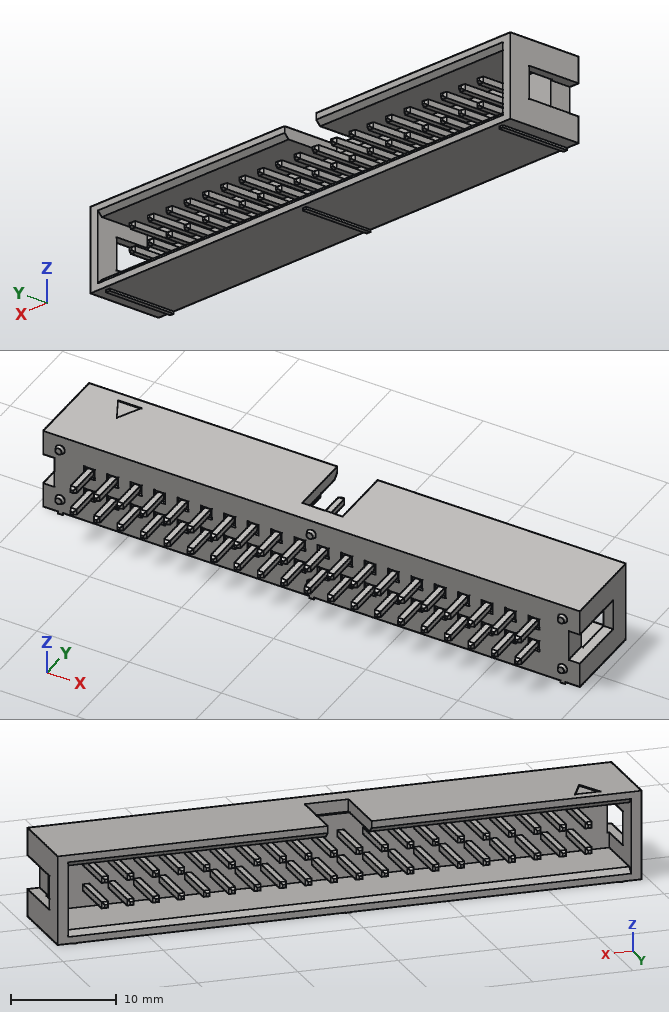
import cadquery as cq


LENGTH = 58.3
DEPTH = 8.8
HEIGHT = 8.85
LONG_WALL = 1.2
END_WALL = 1.05
FLOOR_THICKNESS = 2.45
RIM_CHAMFER_DEPTH = 0.5
RIM_CHAMFER_HEIGHT = 0.5

END_SLOT_HEIGHT = 3.4
END_SLOT_LENGTH = 6.35
END_SLOT_DEPTH = 1.2

NOTCH_WIDTH = 4.4
NOTCH_LENGTH = 6.7

COLUMNS = 20
ROWS = 2
ROW_LENGTH = 48.3
PIN_WIDTH = 0.65
PIN_TAIL = 3.3
PIN_TIP_INSET = 0.5
TIP_LENGTH = 0.35
TIP_TAPER = 0.2
PIN_RECESS_WIDTH = 1.2
PIN_RECESS_DEPTH = 0.3

SUPPORT_END_OFFSET = 1.85
STANDOFF_BASE_DIAMETER = 1.0
STANDOFF_TIP_DIAMETER = 0.7
STANDOFF_HEIGHT = 0.35
STANDOFF_EDGE_OFFSET = 1.5
RIB_WIDTH = 0.5
RIB_HEIGHT = 0.25
RIB_END_GAP = 0.5

MARK_WIDTH = 2.55
MARK_LENGTH = 2.5
MARK_INSET = 1.05
MARK_DEPTH = 0.1

PITCH = ROW_LENGTH / (COLUMNS - 1)
CAVITY_HEIGHT = HEIGHT - 2 * LONG_WALL
SUPPORT_REACH = LENGTH / 2 - SUPPORT_END_OFFSET
SUPPORT_X = (-SUPPORT_REACH, 0, SUPPORT_REACH)
COLUMN_X = [(i - (COLUMNS - 1) / 2) * PITCH for i in range(COLUMNS)]
ROW_Z = [(j - (ROWS - 1) / 2) * PITCH for j in range(ROWS)]
PIN_PLACES = [(x, z) for x in COLUMN_X for z in ROW_Z]


def block(x_range, y_range, z_range):
    """Box between the given limits on each axis."""
    sizes = [high - low for low, high in (x_range, y_range, z_range)]
    corner = (x_range[0], y_range[0], z_range[0])
    return cq.Workplane("XY").box(*sizes, centered=False).translate(corner)


def centered(size):
    return (-size / 2, size / 2)


def facing_board(y):
    """Work plane at the given Y whose normal points to -Y, with local axes X and Z."""
    return cq.Workplane("XZ", origin=(0, y, 0))


def cavity():
    """Space inside the shroud, with the mouth flared along both long walls."""
    half = CAVITY_HEIGHT / 2
    mouth_half = half + RIM_CHAMFER_HEIGHT
    flare_start = DEPTH - RIM_CHAMFER_DEPTH
    inner_length = LENGTH - 2 * END_WALL
    profile = [
        (FLOOR_THICKNESS, -half),
        (flare_start, -half),
        (DEPTH, -mouth_half),
        (DEPTH, mouth_half),
        (flare_start, half),
        (FLOOR_THICKNESS, half),
    ]
    return cq.Workplane("YZ").polyline(profile).close().extrude(inner_length / 2, both=True)


def end_slot(side):
    """Slot through the end wall at side = -1 or +1."""
    x_range = sorted((side * (LENGTH / 2 - END_SLOT_DEPTH), side * LENGTH / 2))
    return block(x_range, (0, END_SLOT_LENGTH), centered(END_SLOT_HEIGHT))


def notch():
    return block(
        centered(NOTCH_WIDTH),
        (DEPTH - NOTCH_LENGTH, DEPTH),
        (CAVITY_HEIGHT / 2, HEIGHT / 2),
    )


def pin_one_mark():
    """Shallow triangle in the top face, pointing at the first column."""
    base_y = DEPTH - MARK_INSET
    x = COLUMN_X[0]
    corners = [
        (x - MARK_WIDTH / 2, base_y),
        (x + MARK_WIDTH / 2, base_y),
        (x, base_y - MARK_LENGTH),
    ]
    return cq.Workplane("XY", origin=(0, 0, HEIGHT / 2)).polyline(corners).close().extrude(-MARK_DEPTH)


def pin_recesses():
    squares = facing_board(0).pushPoints(PIN_PLACES).rect(PIN_RECESS_WIDTH, PIN_RECESS_WIDTH)
    return squares.extrude(-PIN_RECESS_DEPTH)


def pin():
    """One square pin on the Y axis, tapered on all four sides at both tips."""
    top = DEPTH - PIN_TIP_INSET
    shaft = facing_board(top).rect(PIN_WIDTH, PIN_WIDTH).extrude(top + PIN_TAIL)
    return shaft.faces("<Y or >Y").chamfer(TIP_LENGTH, TIP_TAPER)


def standoffs():
    """Conical feet along the long edges of the board side."""
    z = HEIGHT / 2 - STANDOFF_EDGE_OFFSET
    places = [(x, side * z) for x in SUPPORT_X for side in (-1, 1)]
    cone = cq.Solid.makeCone(
        STANDOFF_BASE_DIAMETER / 2,
        STANDOFF_TIP_DIAMETER / 2,
        STANDOFF_HEIGHT,
        dir=cq.Vector(0, -1, 0),
    )
    return [cone.translate(cq.Vector(x, 0, z)) for x, z in places]


def rib(x):
    """Crush rib under the bottom wall."""
    low = -HEIGHT / 2 - RIB_HEIGHT
    return block(
        (x - RIB_WIDTH / 2, x + RIB_WIDTH / 2),
        (0, DEPTH - RIB_END_GAP),
        (low, -HEIGHT / 2),
    )


shroud = block(centered(LENGTH), (0, DEPTH), centered(HEIGHT))
shroud = shroud.cut(cavity()).cut(notch()).cut(pin_one_mark()).cut(pin_recesses())
for side in (-1, 1):
    shroud = shroud.cut(end_slot(side))

ribs = [rib(x).val() for x in SUPPORT_X]
pins = [pin().translate((x, 0, z)).val() for x, z in PIN_PLACES]
result = shroud.union(cq.Workplane().newObject(standoffs() + ribs + pins))